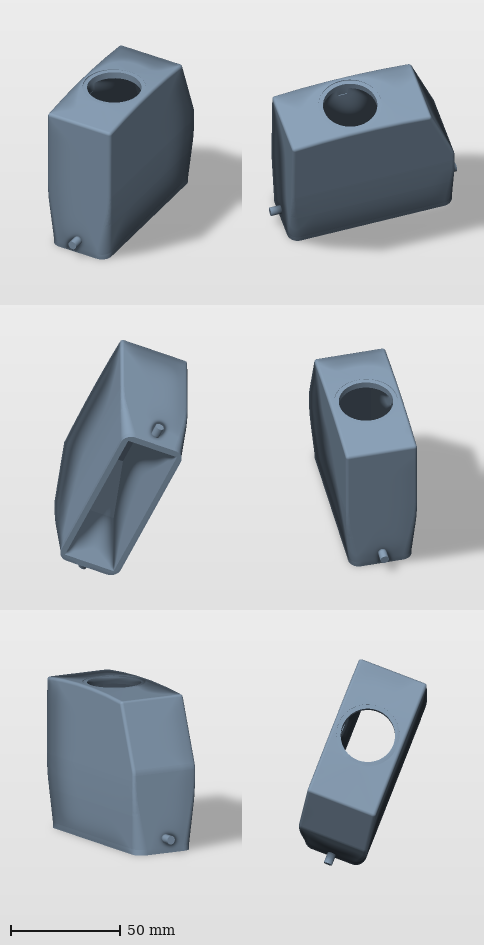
import cadquery as cq
import math

HEIGHT = 72.3
LENGTH = 78.8
TOP_WIDTH = 33.5
BASE_WIDTH = 29.7
END_DRAFT = 0.6

RIM_HEIGHT = 2.6
FLARE_TOP = 18.5
BULGE_TOP = 34.9

RIM_CORNER = 5.0
FLARE_CORNER = 2.85
BLOCK_CORNER = 1.4

ENTRY_Y = -6.1
FRONT_EAVE_Z = 70.5

BACK_KNEE_Z = 39.0
BACK_SLOPE = math.radians(19.8)
KNEE_RADIUS = 8.0

ENTRY_DIAMETER = 24.9
SPOTFACE_DIAMETER = 29.0
SPOTFACE_DEPTH = 0.45
SPOTFACE_Z = HEIGHT - SPOTFACE_DEPTH
ENTRY_DEPTH = 7.1

CAVITY_WIDTH = 24.3
END_WALL = 2.7
ROOF_THICKNESS = 3.7

PEG_DIAMETER = 4.0
PEG_Z = 6.9
PEG_SPAN = 89.0

CUT_MARGIN = 4.45


def half_length(z):
    """Distance from the middle to a drafted end wall at height z."""
    return LENGTH / 2 - max(z - RIM_HEIGHT, 0) * math.tan(math.radians(END_DRAFT))


def rounded_section(width, z, corner):
    """Horizontal wire of the hood: a rectangle with rounded corners."""
    return (
        cq.Sketch()
        .rect(width, 2 * half_length(z))
        .vertices()
        .fillet(corner)
        .moved(cq.Location(cq.Vector(0, 0, z)))
    )


def loft(sections, ruled):
    """Solid through a list of horizontal sections."""
    return cq.Workplane().placeSketch(*sections).loft(ruled=ruled)


def bulge_section(fraction):
    """Section of the curved zone, 0 at its bottom and 1 at its top.

    The width follows a parabola that ends vertical, and so does the corner radius.
    """
    z = FLARE_TOP + fraction * (BULGE_TOP - FLARE_TOP)
    remaining = (1 - fraction) ** 2
    width = TOP_WIDTH - remaining * (TOP_WIDTH - flare_top_width())
    corner = BLOCK_CORNER + remaining * (FLARE_CORNER - BLOCK_CORNER)
    return rounded_section(width, z, corner)


def flare_top_width():
    """Width where the straight side walls run tangent into the curved ones."""
    flare_height = FLARE_TOP - RIM_HEIGHT
    bulge_height = BULGE_TOP - FLARE_TOP
    share = flare_height / (flare_height + bulge_height / 2)
    return BASE_WIDTH + share * (TOP_WIDTH - BASE_WIDTH)


def lower_shell():
    """Rim, straight flare and curved bulge below the upper block."""
    rim = loft([rounded_section(BASE_WIDTH, z, RIM_CORNER) for z in (0, RIM_HEIGHT)], True)
    flare = loft([rounded_section(BASE_WIDTH, RIM_HEIGHT, RIM_CORNER), bulge_section(0)], True)
    bulge = loft([bulge_section(fraction) for fraction in (0, 0.5, 1)], False)
    return rim.union(flare).union(bulge)


def roof_radius():
    """Radius of the roof arc, from its crest over the cable entry down to the front eave."""
    run = half_length(FRONT_EAVE_Z) + ENTRY_Y
    drop = HEIGHT - FRONT_EAVE_Z
    return (run**2 + drop**2) / (2 * drop)


def back_eave():
    """Point (y, z) where the sloping back meets the roof arc."""
    knee_y = half_length(BACK_KNEE_Z)
    radius = roof_radius()
    offset_y = knee_y - ENTRY_Y
    offset_z = BACK_KNEE_Z - (HEIGHT - radius)
    along = offset_z * math.cos(BACK_SLOPE) - offset_y * math.sin(BACK_SLOPE)
    across = offset_y * math.cos(BACK_SLOPE) + offset_z * math.sin(BACK_SLOPE)
    rise = math.sqrt(radius**2 - across**2) - along
    return knee_y - rise * math.sin(BACK_SLOPE), BACK_KNEE_Z + rise * math.cos(BACK_SLOPE)


def upper_block():
    """Block with crowned roof and sloping back, all its upper edges rounded."""
    front_eave = (-half_length(FRONT_EAVE_Z), FRONT_EAVE_Z)
    knee = (half_length(BACK_KNEE_Z), BACK_KNEE_Z)
    block = (
        cq.Workplane("YZ")
        .moveTo(-half_length(BULGE_TOP), BULGE_TOP)
        .lineTo(*front_eave)
        .threePointArc((ENTRY_Y, HEIGHT), back_eave())
        .lineTo(*knee)
        .lineTo(half_length(BULGE_TOP), BULGE_TOP)
        .close()
        .extrude(TOP_WIDTH / 2, both=True)
    )
    block = block.edges(cross_edge(knee)).fillet(KNEE_RADIUS)
    side_edges = block.edges("not(|X or <Z)").vals()
    eaves = block.edges(cross_edge(front_eave)).vals() + block.edges(cross_edge(back_eave())).vals()
    return block.newObject(side_edges + eaves).fillet(BLOCK_CORNER)


def cross_edge(point):
    """Selector for the edge along X that passes through a (y, z) point."""
    return cq.selectors.NearestToPointSelector((0, *point))


def cavity_half_length():
    """Distance from the middle to the inner face of an end wall."""
    return half_length(BACK_KNEE_Z) - END_WALL


def cavity():
    """Straight-sided hollow that follows the sloping back."""
    roof = HEIGHT - ROOF_THICKNESS
    end_y = cavity_half_length()
    back_y = end_y - (roof - BACK_KNEE_Z) * math.tan(BACK_SLOPE)
    outline = [
        (-end_y, -CUT_MARGIN),
        (-end_y, roof),
        (back_y, roof),
        (end_y, BACK_KNEE_Z),
        (end_y, -CUT_MARGIN),
    ]
    return cq.Workplane("YZ").polyline(outline).close().extrude(CAVITY_WIDTH / 2, both=True)


def upright_cylinder(diameter, bottom):
    """Cutter on the cable entry axis from a given level up past the roof."""
    return (
        cq.Workplane(origin=(0, ENTRY_Y, bottom))
        .circle(diameter / 2)
        .extrude(HEIGHT + CUT_MARGIN - bottom)
    )


def peg(side):
    """Locking peg from the cavity face outward; side is -1 at the front, 1 at the back."""
    inner_y = cavity_half_length()
    return (
        cq.Workplane("XZ", origin=(0, side * inner_y, PEG_Z))
        .circle(PEG_DIAMETER / 2)
        .extrude(-side * (PEG_SPAN / 2 - inner_y))
    )


pin = peg(-1)

hood = lower_shell().union(upper_block()).cut(cavity())
hood = hood.cut(upright_cylinder(SPOTFACE_DIAMETER, SPOTFACE_Z))
hood = hood.cut(upright_cylinder(ENTRY_DIAMETER, SPOTFACE_Z - ENTRY_DEPTH))
hood = hood.union(peg(1)).cut(pin)

result = cq.Compound.makeCompound([hood.val(), pin.val()])